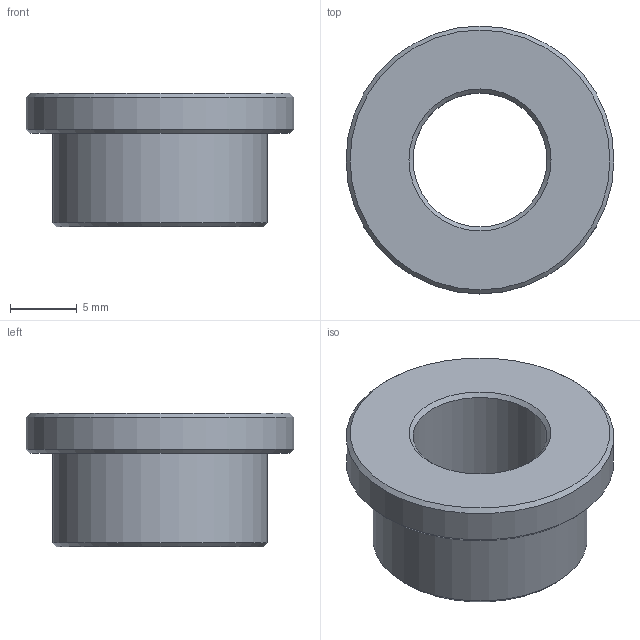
import cadquery as cq

flange_diameter = 20.0
sleeve_diameter = 16.0
bore_diameter = 10.0
total_height = 10.0
flange_thickness = 3.0
edge_chamfer = 0.3

sleeve_height = total_height - flange_thickness


def make_sleeve():
    """Cylindrical sleeve with a chamfered bottom rim."""
    sleeve = cq.Workplane("XY").circle(sleeve_diameter / 2).extrude(sleeve_height)
    return sleeve.faces("<Z").edges().chamfer(edge_chamfer)


def make_flange():
    """Round flange on top of the sleeve, chamfered on both rims."""
    flange = (
        cq.Workplane("XY")
        .workplane(offset=sleeve_height)
        .circle(flange_diameter / 2)
        .extrude(flange_thickness)
    )
    return flange.faces("<Z or >Z").edges().chamfer(edge_chamfer)


def cut_bore(body):
    """Through bore with a chamfered mouth in the flange face."""
    bored = body.cut(cq.Workplane("XY").circle(bore_diameter / 2).extrude(total_height))
    return bored.faces(">Z").edges(cq.selectors.RadiusNthSelector(0)).chamfer(edge_chamfer)


result = cut_bore(make_sleeve().union(make_flange()))